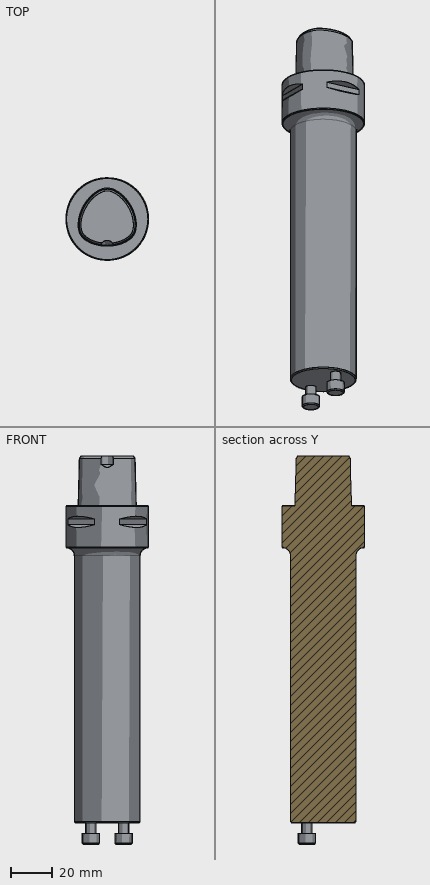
import cadquery as cq
import math

total_length = 188.0
body_bottom = 10.3
body_top = 139.7
flange_bottom = 143.5
flange_top = 164.0

flange_radius = 40.0 / 2
body_radius = 32.0 / 2
flange_top_chamfer = 0.4
flange_lower_chamfer = 0.47
neck_radius = flange_bottom - body_top
body_chamfer = 0.5

lobe_size = 1.0
shank_base_radius = 14.1
shank_taper = 1 / 40
shank_chamfer_height = 1.3
shank_chamfer_width = 0.85
lobe_curve_points = 48

notch_radius = 3.2
notch_y = -13.5
notch_depth = 4.1
notch_tip_height = 2.0

groove_z = 156.0
groove_length = 18.5
groove_floor_height = 2.6
groove_mouth_height = 5.5
groove_count = 4

screw_offset = 7.9
screw_radius = 5.0 / 2
head_radius = 8.5 / 2
head_height = 5.3
head_chamfer = 0.5


def make_body():
    """Flange, concave neck and body as one turned profile."""
    neck_outer = body_radius + neck_radius
    arc_shift = neck_radius * (1 - math.cos(math.radians(45)))
    return (
        cq.Workplane("XZ")
        .moveTo(0, body_bottom)
        .lineTo(body_radius - body_chamfer, body_bottom)
        .lineTo(body_radius, body_bottom + body_chamfer)
        .lineTo(body_radius, body_top)
        .threePointArc((body_radius + arc_shift, flange_bottom - arc_shift), (neck_outer, flange_bottom))
        .lineTo(flange_radius - flange_lower_chamfer, flange_bottom)
        .lineTo(flange_radius, flange_bottom + flange_lower_chamfer)
        .lineTo(flange_radius, flange_top - flange_top_chamfer)
        .lineTo(flange_radius - flange_top_chamfer, flange_top)
        .lineTo(0, flange_top)
        .close()
        .revolve(360, (0, 0), (0, 1))
    )


def lobed_wire(mean_radius, z):
    """Closed constant-width curve with three lobes, one pointing along +Y."""
    points = []
    for i in range(lobe_curve_points):
        angle = 2 * math.pi * i / lobe_curve_points
        along_lobe = mean_radius * math.cos(angle) + lobe_size * (2 * math.cos(2 * angle) - math.cos(4 * angle))
        across_lobe = mean_radius * math.sin(angle) - lobe_size * (2 * math.sin(2 * angle) + math.sin(4 * angle))
        points.append(cq.Vector(-across_lobe, along_lobe, z))
    return cq.Wire.assembleEdges([cq.Edge.makeSpline(points, periodic=True)])


def make_shank():
    """Tapered lobed shank with a bevelled top edge and a drilled notch."""
    bevel_start = total_length - shank_chamfer_height
    bevel_radius = shank_base_radius - shank_taper * (bevel_start - flange_top)
    base = lobed_wire(shank_base_radius, flange_top)
    shoulder = lobed_wire(bevel_radius, bevel_start)
    tip = lobed_wire(bevel_radius - shank_chamfer_width, total_length)
    taper = cq.Solid.makeLoft([base, shoulder], True)
    bevel = cq.Solid.makeLoft([shoulder, tip], True)

    notch_floor = total_length - notch_depth
    notch = (
        cq.Workplane("XZ")
        .polyline([
            (0, notch_floor - notch_tip_height),
            (notch_radius, notch_floor),
            (notch_radius, total_length),
            (0, total_length),
        ])
        .close()
        .revolve(360, (0, 0), (0, 1))
        .translate((0, notch_y, 0))
    )
    return cq.Workplane(taper).union(cq.Workplane(bevel)).cut(notch)


def make_groove(angle):
    """Cutter for a flat-floored groove with flared sides, facing the given angle."""
    floor_distance = math.sqrt(flange_radius**2 - (groove_length / 2) ** 2)
    floor_half = groove_floor_height / 2
    flare = (groove_mouth_height - groove_floor_height) / 2
    cutter_depth = 2 * (flange_radius - floor_distance)
    outer_half = floor_half + 2 * flare
    return (
        cq.Workplane("XZ")
        .polyline([
            (floor_distance, groove_z - floor_half),
            (floor_distance + cutter_depth, groove_z - outer_half),
            (floor_distance + cutter_depth, groove_z + outer_half),
            (floor_distance, groove_z + floor_half),
        ])
        .close()
        .extrude(groove_length / 2, both=True)
        .rotate((0, 0, 0), (0, 0, 1), angle)
    )


def make_screw(x, y):
    """Screw shaft rising from a cylindrical head at the bottom end."""
    head = cq.Workplane("XY").circle(head_radius).extrude(head_height)
    head = head.faces("<Z").edges().chamfer(head_chamfer)
    shaft = cq.Workplane("XY").circle(screw_radius).extrude(body_bottom + body_chamfer)
    return head.union(shaft).translate((x, y, 0))


result = make_body().union(make_shank())
for index in range(groove_count):
    result = result.cut(make_groove(45 + index * 360 / groove_count))
for side in (-1, 1):
    result = result.union(make_screw(side * screw_offset, -side * screw_offset))